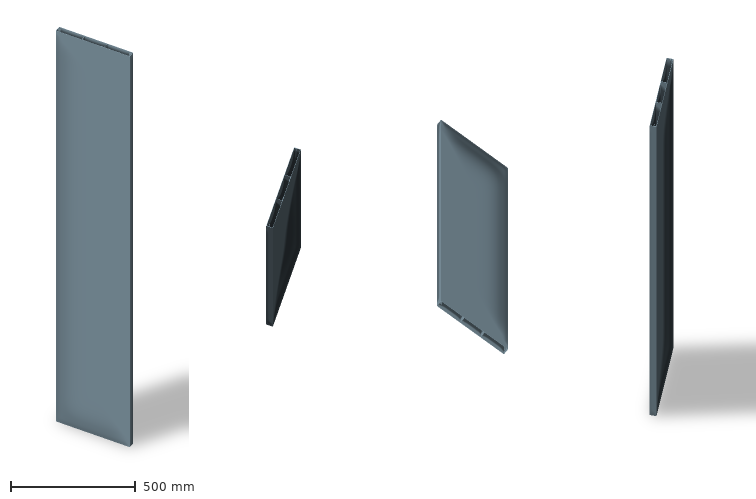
import cadquery as cq

WIDTH = 340.0
DEPTH = 28.0
HEIGHT = 2000.0
SHEET = 1.2

SEAM_Y = -2.0

FOLD_Y = 2.0
LIP_WIDTH = 12.0

WEB_SPACING = 105.0
FOOT_WIDTH = 18.0

SIDE_X = WIDTH / 2
WEB_X = WEB_SPACING / 2
FRONT_Y = -DEPTH / 2
BACK_Y = DEPTH / 2
FRONT_INNER_Y = FRONT_Y + SHEET
FOLD_X = SIDE_X - SHEET


def bar(x_start, x_end, y_start, y_end):
    """Full-height rectangular bar between two X and two Y positions."""
    return (
        cq.Workplane("XY", origin=((x_start + x_end) / 2, (y_start + y_end) / 2, 0))
        .box(abs(x_end - x_start), abs(y_end - y_start), HEIGHT)
    )


def make_front_tray():
    """Flat front sheet with a plain wall along each side up to the seam."""
    tray = bar(-SIDE_X, SIDE_X, FRONT_Y, FRONT_INNER_Y)
    for side in (-1, 1):
        tray = tray.union(bar(side * SIDE_X, side * FOLD_X, FRONT_Y, SEAM_Y))
    return tray


def folded_edge(side):
    """Side wall doubled by an inner fold that ends in an inward lip."""
    wall = bar(side * SIDE_X, side * FOLD_X, SEAM_Y, BACK_Y)
    fold = bar(side * FOLD_X, side * (FOLD_X - SHEET), FOLD_Y, BACK_Y)
    lip = bar(side * FOLD_X, side * (SIDE_X - LIP_WIDTH), FOLD_Y, FOLD_Y + SHEET)
    return wall.union(fold).union(lip)


def stiffener(side):
    """Web from the rear panel to the front sheet, with a foot turned inward."""
    web = bar(side * WEB_X, side * (WEB_X - SHEET), FRONT_INNER_Y, BACK_Y)
    foot = bar(side * WEB_X, side * (WEB_X - FOOT_WIDTH), FRONT_INNER_Y, FRONT_INNER_Y + SHEET)
    return web.union(foot)


def make_rear_panel():
    """Rear sheet carrying the folded side edges and the two stiffeners."""
    panel = bar(-SIDE_X, SIDE_X, BACK_Y - SHEET, BACK_Y)
    for side in (-1, 1):
        panel = panel.union(folded_edge(side)).union(stiffener(side))
    return panel


front_tray = make_front_tray()
rear_panel = make_rear_panel()

result = cq.Compound.makeCompound([front_tray.val(), rear_panel.val()])